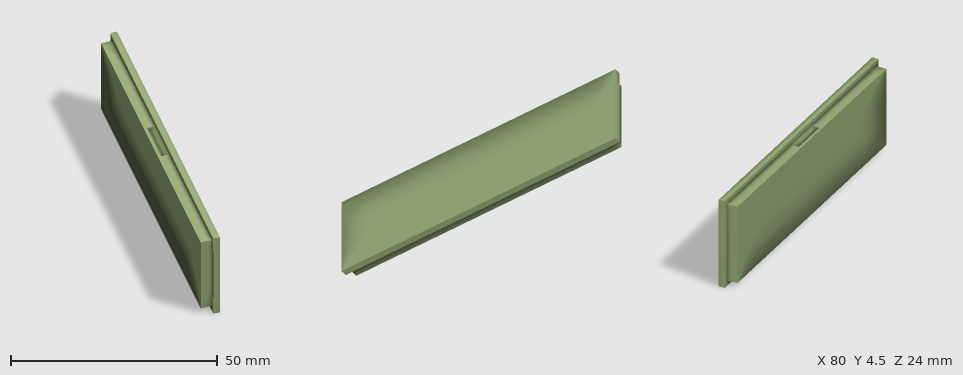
import cadquery as cq

length = 80.0
height = 24.0
depth = 4.5
flange_thickness = 1.7
edge_taper = 0.2

end_border = 1.3
side_border = 1.4
block_length = length - 2 * end_border
block_height = height - 2 * side_border

groove_length = 10.9
groove_center_x = 0.0
groove_front_y = 0.7
groove_valley_y = 1.6
groove_rear_y = 2.6
groove_depth = 1.0

relief_height = 15.2
relief_depth = 0.2

left_x = -length / 2
right_x = length / 2
flange_front_y = depth - flange_thickness
block_left_x = left_x + end_border
block_right_x = block_left_x + block_length
block_top_z = block_height / 2


def make_flange():
    """Plate whose +X edge leans inward toward its front face."""
    outline = [
        (left_x, flange_front_y),
        (right_x - edge_taper, flange_front_y),
        (right_x, depth),
        (left_x, depth),
    ]
    return cq.Workplane("XY").polyline(outline).close().extrude(height / 2, both=True)


def make_block():
    """Rectangular block standing in front of the flange."""
    return cq.Workplane("XY").box(
        block_length, flange_front_y, block_height, centered=(False, False, True)
    ).translate((block_left_x, 0, 0))


def make_groove():
    """V-shaped finger groove running along X, just in front of the flange."""
    outline = [
        (groove_front_y, block_top_z),
        (groove_rear_y, block_top_z),
        (groove_valley_y, block_top_z - groove_depth),
    ]
    prism = cq.Workplane("YZ").polyline(outline).close().extrude(groove_length / 2, both=True)
    return prism.translate((groove_center_x, 0, 0))


def make_relief():
    """Shallow recess between the block and the +X edge."""
    return cq.Workplane("XY").box(
        right_x - block_right_x, relief_depth, relief_height, centered=(False, False, True)
    ).translate((block_right_x, flange_front_y, 0))


result = make_flange().union(make_block()).cut(make_groove()).cut(make_relief())